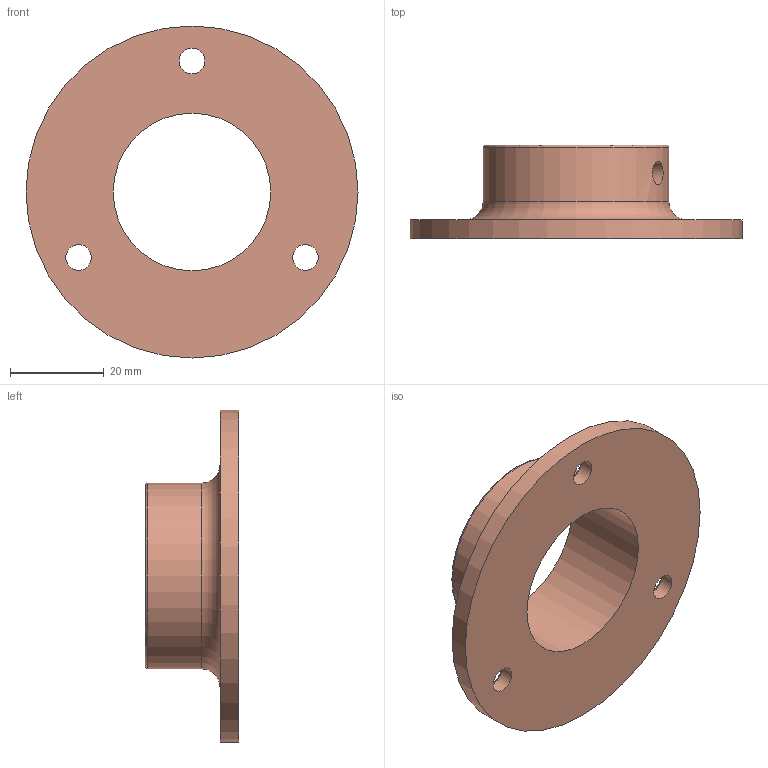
import cadquery as cq
import math

FLANGE_DIAMETER = 71.0
FLANGE_THICKNESS = 4.0

TOTAL_LENGTH = 20.0
HUB_DIAMETER = 39.7
BORE_DIAMETER = 33.7
ROOT_FILLET_RADIUS = 4.0
RIM_FILLET_RADIUS = 0.5

BOLT_HOLE_COUNT = 3
BOLT_HOLE_DIAMETER = 5.5
BOLT_HOLE_CHAMFER = 1.0
BOLT_CIRCLE_RADIUS = 28.0
FIRST_BOLT_ANGLE = 90.0

SCREW_HOLE_DIAMETER = 5.0
SCREW_HOLE_FROM_RIM = 6.0
SCREW_HOLE_ANGLE = 27.5


def flanged_hub():
    """Body of revolution: flange, filleted hub root, rounded outer rim and bore."""
    bore_radius = BORE_DIAMETER / 2
    hub_radius = HUB_DIAMETER / 2
    flange_radius = FLANGE_DIAMETER / 2
    fillet_outer_radius = hub_radius + ROOT_FILLET_RADIUS
    fillet_top = FLANGE_THICKNESS + ROOT_FILLET_RADIUS

    profile = (
        cq.Workplane("XY")
        .moveTo(bore_radius, 0)
        .lineTo(flange_radius, 0)
        .lineTo(flange_radius, FLANGE_THICKNESS)
        .lineTo(fillet_outer_radius, FLANGE_THICKNESS)
        .radiusArc((hub_radius, fillet_top), ROOT_FILLET_RADIUS)
        .lineTo(hub_radius, TOTAL_LENGTH - RIM_FILLET_RADIUS)
        .radiusArc((hub_radius - RIM_FILLET_RADIUS, TOTAL_LENGTH), -RIM_FILLET_RADIUS)
        .lineTo(bore_radius, TOTAL_LENGTH)
        .close()
    )
    return profile.revolve(360, (0, 0, 0), (0, 1, 0))


def bolt_hole(x, z):
    """Cutter for one flange hole, chamfered where it opens on the hub side."""
    axis = cq.Vector(0, 1, 0)
    radius = BOLT_HOLE_DIAMETER / 2
    chamfer_start = cq.Vector(x, FLANGE_THICKNESS - BOLT_HOLE_CHAMFER, z)
    shank = cq.Solid.makeCylinder(radius, FLANGE_THICKNESS, cq.Vector(x, 0, z), axis)
    chamfer = cq.Solid.makeCone(radius, radius + BOLT_HOLE_CHAMFER, BOLT_HOLE_CHAMFER, chamfer_start, axis)
    return cq.Workplane(shank).union(cq.Workplane(chamfer))


def drill_bolt_holes(body):
    """Cut the equally spaced flange holes."""
    for index in range(BOLT_HOLE_COUNT):
        angle = math.radians(FIRST_BOLT_ANGLE + index * 360 / BOLT_HOLE_COUNT)
        x = BOLT_CIRCLE_RADIUS * math.cos(angle)
        z = BOLT_CIRCLE_RADIUS * math.sin(angle)
        body = body.cut(bolt_hole(x, z))
    return body


def screw_hole():
    """Cutter for the set-screw hole, running outward from the hub axis."""
    angle = math.radians(SCREW_HOLE_ANGLE)
    start = cq.Vector(0, TOTAL_LENGTH - SCREW_HOLE_FROM_RIM, 0)
    direction = cq.Vector(math.cos(angle), 0, math.sin(angle))
    return cq.Workplane(cq.Solid.makeCylinder(SCREW_HOLE_DIAMETER / 2, HUB_DIAMETER, start, direction))


result = drill_bolt_holes(flanged_hub()).cut(screw_hole())